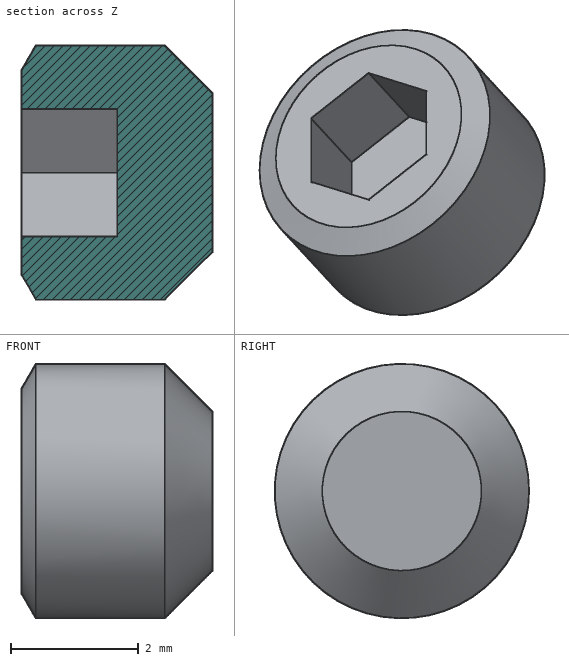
import cadquery as cq
import math

outer_diameter = 4.0
length = 3.0

socket_face_diameter = 3.22
socket_chamfer_angle = 30.0

tip_diameter = 2.5

hex_across_flats = 2.0
hex_depth = 1.5

outer_radius = outer_diameter / 2
socket_face_radius = socket_face_diameter / 2
tip_radius = tip_diameter / 2
socket_chamfer_length = (outer_radius - socket_face_radius) * math.tan(math.radians(socket_chamfer_angle))
tip_cone_length = outer_radius - tip_radius


def make_body():
    """Revolve the half profile about the X axis."""
    return (
        cq.Workplane("XY")
        .polyline([
            (0, 0),
            (0, socket_face_radius),
            (socket_chamfer_length, outer_radius),
            (length - tip_cone_length, outer_radius),
            (length, tip_radius),
            (length, 0),
        ])
        .close()
        .revolve(360, (0, 0, 0), (1, 0, 0))
    )


def make_hex_socket():
    """Flat-bottomed hexagonal prism with two corners pointing along Z."""
    across_corners = hex_across_flats / math.cos(math.radians(30))
    return (
        cq.Workplane("YZ")
        .transformed(rotate=(0, 0, 90))
        .polygon(6, across_corners)
        .extrude(hex_depth)
    )


result = make_body().cut(make_hex_socket())